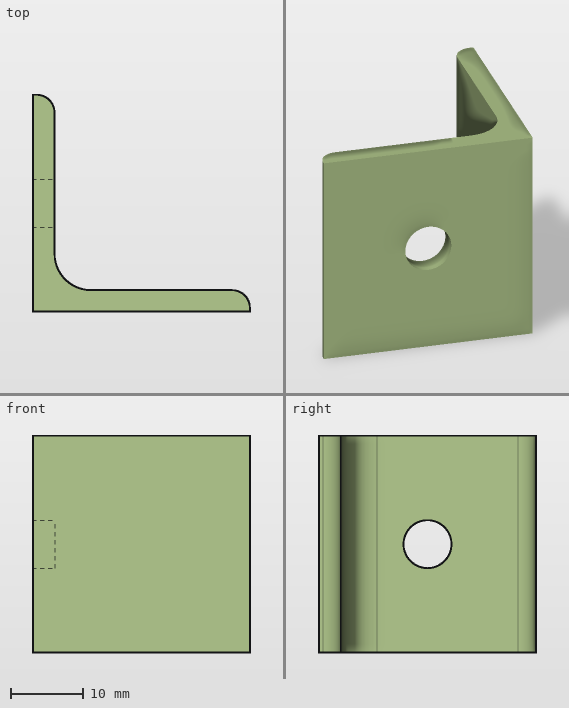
import cadquery as cq

leg_length = 30.0
height = 30.0
thickness = 3.0
root_radius = 5.0
toe_radius = 2.5
hole_diameter = 6.6
hole_y = leg_length / 2
hole_z = height / 2


def angle_profile():
    """L section with its outer corner at the origin and sharp inner corners."""
    return (
        cq.Workplane("XY")
        .moveTo(0, 0)
        .lineTo(leg_length, 0)
        .lineTo(leg_length, thickness)
        .lineTo(thickness, thickness)
        .lineTo(thickness, leg_length)
        .lineTo(0, leg_length)
        .close()
    )


def vertical_edge_at(x, y):
    """Selector for the vertical edge through (x, y)."""
    return cq.selectors.NearestToPointSelector((x, y, height / 2))


def rounded_angle():
    """Extruded angle with the inner root and both inner toes rounded."""
    body = angle_profile().extrude(height)
    body = body.edges(vertical_edge_at(thickness, thickness)).fillet(root_radius)
    for x, y in ((leg_length, thickness), (thickness, leg_length)):
        body = body.edges(vertical_edge_at(x, y)).fillet(toe_radius)
    return body


def leg_hole():
    """Cylinder crossing the leg that lies in the YZ plane."""
    return (
        cq.Workplane("YZ")
        .center(hole_y, hole_z)
        .circle(hole_diameter / 2)
        .extrude(thickness)
    )


result = rounded_angle().cut(leg_hole())